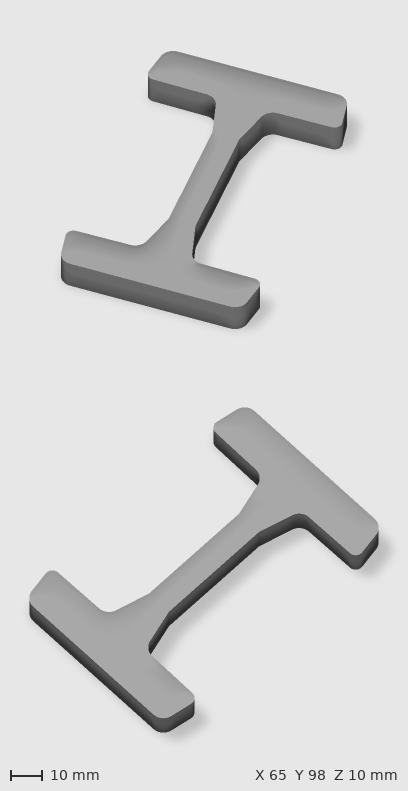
import cadquery as cq
import math

length = 98.0
thickness = 10.0

flange_outer_half_width = 30.5
flange_side_angle = 10.0
flange_depth = 14.0
inner_face_angle = 0.7

web_half_width = 4.5
web_straight_half_length = 20.0
web_flare_angle = 15.3

outer_corner_radius = 4.4
inner_corner_radius = 2.5
web_corner_radius = 4.4

half_length = length / 2
flange_inner_y = half_length - flange_depth
flange_inner_half_width = flange_outer_half_width + flange_depth * math.tan(math.radians(flange_side_angle))

flare_slope = math.tan(math.radians(web_flare_angle))
face_slope = math.tan(math.radians(inner_face_angle))
flare_height = (
    flange_inner_y - web_straight_half_length - face_slope * (flange_inner_half_width - web_half_width)
) / (1 - face_slope * flare_slope)
flare_end_x = web_half_width + flare_height * flare_slope
flare_end_y = web_straight_half_length + flare_height

quarter = [
    (flange_outer_half_width, half_length),
    (flange_inner_half_width, flange_inner_y),
    (flare_end_x, flare_end_y),
    (web_half_width, web_straight_half_length),
]
right_side = quarter + [(x, -y) for x, y in reversed(quarter)]
left_side = [(-x, -y) for x, y in right_side]

body = cq.Workplane("XY").polyline(right_side + left_side).close().extrude(thickness)


def round_corners(solid, corner, radius):
    """Round the vertical edges at a corner and its three mirror images."""
    for sign_x in (1, -1):
        for sign_y in (1, -1):
            midpoint = (sign_x * corner[0], sign_y * corner[1], thickness / 2)
            edge = cq.selectors.NearestToPointSelector(midpoint)
            solid = solid.edges("|Z").edges(edge).fillet(radius)
    return solid


outer_corner, inner_corner, web_corner, _ = quarter
body = round_corners(body, outer_corner, outer_corner_radius)
body = round_corners(body, inner_corner, inner_corner_radius)
body = round_corners(body, web_corner, web_corner_radius)

result = body